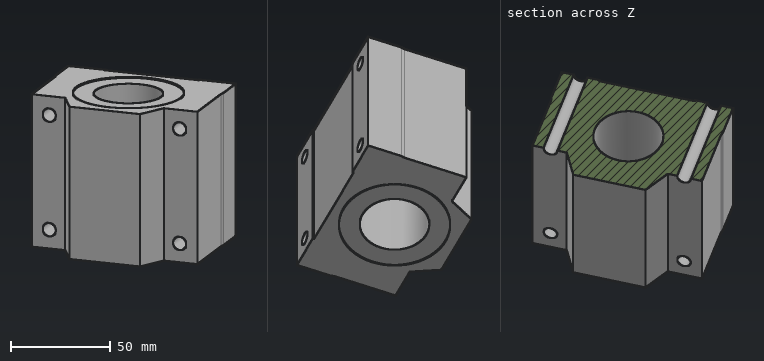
import cadquery as cq

WIDTH = 90.0
DEPTH = 68.0
HEIGHT = 80.0

NOSE_DEPTH = 14.0
NOSE_ROOT_WIDTH = 53.0
NOSE_TIP_WIDTH = 38.0

RELIEF_WIDTH = 50.0
RELIEF_DEPTH = 0.7

SIDE_LAND = 18.2
SIDE_SLOPE = 1.9
SIDE_INSET = 0.45

BEARING_DIAMETER = 56.0
BEARING_RECESS = 0.5
BORE_DIAMETER = 35.0
BEARING_TO_MOUNTING_FACE = 34.0

HOLE_DIAMETER = 7.0
HOLE_PITCH_X = 70.0
HOLE_PITCH_Z = 60.0

back_y = BEARING_TO_MOUNTING_FACE
tip_y = back_y - DEPTH
flange_front_y = tip_y + NOSE_DEPTH


def make_block():
    """Extrude the symmetric cross-section of the housing."""
    half_outline = [
        (0, back_y - RELIEF_DEPTH),
        (RELIEF_WIDTH / 2, back_y - RELIEF_DEPTH),
        (RELIEF_WIDTH / 2, back_y),
        (WIDTH / 2, back_y),
        (WIDTH / 2, back_y - SIDE_LAND),
        (WIDTH / 2 - SIDE_INSET, back_y - SIDE_LAND - SIDE_SLOPE),
        (WIDTH / 2 - SIDE_INSET, flange_front_y),
        (NOSE_ROOT_WIDTH / 2, flange_front_y),
        (NOSE_TIP_WIDTH / 2, tip_y),
        (0, tip_y),
    ]
    half = cq.Workplane("XY").polyline(half_outline).mirrorY()
    return half.extrude(HEIGHT / 2, both=True)


def make_bore():
    """Through bore with a shallow recess over the bearing at both ends."""
    bore = cq.Workplane("XY").circle(BORE_DIAMETER / 2).extrude(HEIGHT / 2, both=True)
    for end in (1, -1):
        recess = (
            cq.Workplane("XY")
            .workplane(offset=end * HEIGHT / 2)
            .circle(BEARING_DIAMETER / 2)
            .extrude(-end * BEARING_RECESS)
        )
        bore = bore.union(recess)
    return bore


def make_mounting_holes():
    """Four plain holes running through the flanges from front to back."""
    return (
        cq.Workplane("XZ", origin=(0, back_y, 0))
        .rarray(HOLE_PITCH_X, HOLE_PITCH_Z, 2, 2)
        .circle(HOLE_DIAMETER / 2)
        .extrude(DEPTH)
    )


result = make_block().cut(make_bore()).cut(make_mounting_holes())